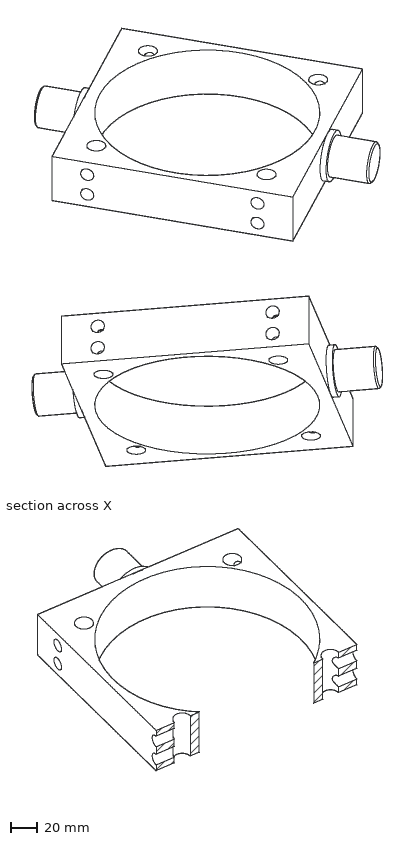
import cadquery as cq

overall_length = 264.0
body_length = 190.0
body_width = 182.0
body_height = 40.0
bore_diameter = 170.0

mount_spacing = 134.5
mount_diameter = 14.3

side_hole_diameter = 10.3
side_hole_spacing = 18.0
side_hole_depth = (body_width - mount_spacing) / 2

collar_diameter = 39.5
collar_length = 4.8
pin_diameter = 32.2
pin_chamfer = 1.3
trunnion_length = (overall_length - body_length) / 2


def make_body():
    return (
        cq.Workplane("XY")
        .box(body_length, body_width, body_height)
        .faces(">Z").workplane()
        .hole(bore_diameter)
        .faces(">Z").workplane()
        .rect(mount_spacing, mount_spacing, forConstruction=True)
        .vertices()
        .hole(mount_diameter)
    )


def make_trunnion(side):
    """Collar and chamfered pin pointing along X; side is +1 or -1."""
    face = cq.Plane(origin=(side * body_length / 2, 0, 0), xDir=(0, 1, 0), normal=(side, 0, 0))
    pin = (
        cq.Workplane(face)
        .circle(pin_diameter / 2)
        .extrude(trunnion_length)
        .faces(">X" if side > 0 else "<X")
        .chamfer(pin_chamfer)
    )
    collar = cq.Workplane(face).circle(collar_diameter / 2).extrude(collar_length)
    return pin.union(collar)


def make_side_holes(side):
    """Cutters for the holes entering from one Y face; side is +1 or -1."""
    face = cq.Plane(origin=(0, side * body_width / 2, 0), xDir=(1, 0, 0), normal=(0, -side, 0))
    return (
        cq.Workplane(face)
        .rect(mount_spacing, side_hole_spacing, forConstruction=True)
        .vertices()
        .circle(side_hole_diameter / 2)
        .extrude(side_hole_depth)
    )


result = make_body()
for side in (-1, 1):
    result = result.union(make_trunnion(side)).cut(make_side_holes(side))